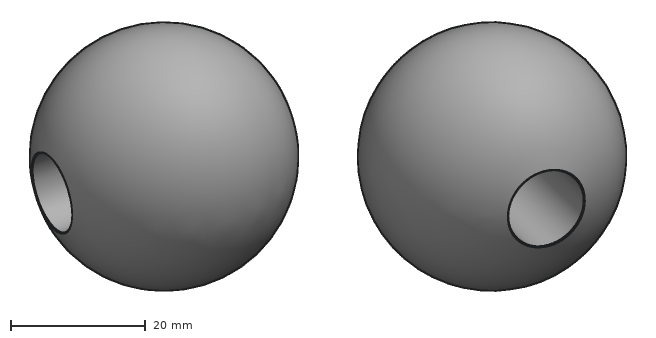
import cadquery as cq

ball_diameter = 40.0
bore_diameter = 12.3
bore_chamfer = 0.2

ball_radius = ball_diameter / 2

ball = cq.Workplane("XZ").sphere(ball_radius)

bore = (
    cq.Workplane("XZ", origin=(0, ball_radius, 0))
    .circle(bore_diameter / 2)
    .extrude(ball_diameter)
)
bored_ball = ball.cut(bore)

result = bored_ball.edges("<Y or >Y").chamfer(bore_chamfer)